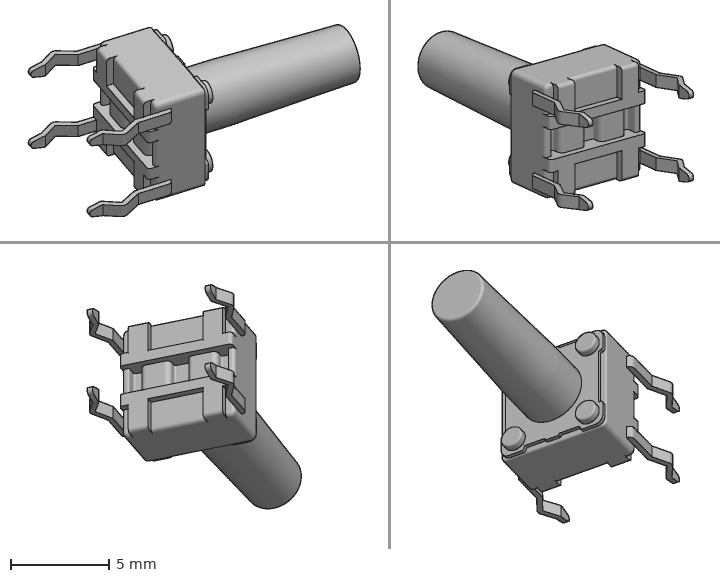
import cadquery as cq
import math


body_size = 6.2
body_half = body_size / 2
body_top = 3.3
body_corner_radius = 0.3
body_top_fillet = 0.1
body_bottom_fillet = 0.2

recess_depth = 0.4
corner_recess_x = 2.6
corner_recess_z = 1.52
side_recess_half_width = 1.52
side_recess_z = 1.4
channel_half_width = 0.82

pocket_floor = 1.05
pocket_floor_fillet = 0.1
pocket_outer_x = 2.71
rib_center_x = 1.29
rib_half_width = 0.82
rib_edge_radius = 0.3
wall_edge_radius = 0.1

plate_half = 3.0
plate_top = 3.5
plate_corner_radius = 0.46
relief_half_width = 1.64
relief_depth = 0.26
relief_rim_radius = 0.15
relief_floor_fillet = 0.1
tab_half_width = 0.39
tab_height = 0.12

rivet_offset = 2.18
rivet_radius = 0.61
rivet_top = 3.9
rivet_fillet = 0.1

stem_radius = 1.75
stem_tip_radius = 1.54
stem_taper_start = 5.83
stem_top = 13.0
stem_tip_fillet = 0.15

leg_offset_z = 2.26
leg_width = 0.7
leg_thickness = 0.3
leg_top = 1.3
leg_bottom = -3.5
leg_upper_bend = -0.76
leg_lower_bend = -2.71
leg_bend_angle = math.radians(30)
leg_apex_x = 3.955
leg_apex_y = -1.81
leg_apex_outer_radius = 0.35
leg_apex_inner_radius = leg_apex_outer_radius - leg_thickness
leg_taper_start = -2.79
leg_taper_angle = math.radians(13)
leg_tip_radius = 0.23


def box(x_min, x_max, y_min, y_max, z_min, z_max):
    """Axis-aligned box between two opposite corners."""
    size = (x_max - x_min, y_max - y_min, z_max - z_min)
    return cq.Workplane("XY").box(*size, centered=False).translate((x_min, y_min, z_min))


def rounded_block(bottom):
    """Housing block with rounded edges, reaching down to the given height."""
    block = box(-body_half, body_half, bottom, body_top, -body_half, body_half)
    block = block.edges("|Y").fillet(body_corner_radius)
    block = block.faces(">Y").edges().fillet(body_top_fillet)
    return block.faces("<Y").edges().fillet(body_bottom_fillet)


def groove_cutter(x_min, x_max, depth, left_radius, right_radius, floor_fillet, length):
    """Groove with its mouth on y = 0, cutting toward +Y and running from z = 0 along +Z.

    Its mouth flares out in arcs of the given radii (0 leaves a sharp edge).
    """
    arc_inset = 1 - math.sqrt(0.5)
    outline = cq.Workplane("XY").moveTo(x_min - left_radius, 0)
    if left_radius:
        left_middle = (x_min - left_radius * arc_inset, left_radius * arc_inset)
        outline = outline.threePointArc(left_middle, (x_min, left_radius))
    outline = outline.lineTo(x_min, depth).lineTo(x_max, depth).lineTo(x_max, right_radius)
    if right_radius:
        right_middle = (x_max + right_radius * arc_inset, right_radius * arc_inset)
        outline = outline.threePointArc(right_middle, (x_max + right_radius, 0))
    cutter = outline.close().extrude(length)
    return cutter.faces(">Y").edges("|Z").fillet(floor_fillet)


def pocket(x_min, x_max, left_radius, right_radius):
    """Cutter for one pocket in the floor of the channel."""
    cutter = groove_cutter(
        x_min,
        x_max,
        pocket_floor - recess_depth,
        left_radius,
        right_radius,
        pocket_floor_fillet,
        2 * channel_half_width,
    )
    return cutter.translate((0, recess_depth, -channel_half_width))


def relief(x_min, left_radius):
    """Cutter for a relief in the +Z side of the plate, ending at the +X rim."""
    cutter = groove_cutter(
        x_min,
        relief_half_width,
        relief_depth,
        left_radius,
        relief_rim_radius,
        relief_floor_fillet,
        plate_top - body_top,
    )
    return cutter.rotate((0, 0, 0), (1, 0, 0), -90).translate((0, body_top, plate_half))


def make_housing():
    recess_top = recess_depth + body_bottom_fillet
    feet = rounded_block(0)
    feet = feet.cut(
        box(-body_half, body_half, 0, recess_top, -channel_half_width, channel_half_width)
    )
    side_recess = box(
        -side_recess_half_width, side_recess_half_width, 0, recess_top, side_recess_z, body_half
    )
    corner_recess = box(corner_recess_x, body_half, 0, recess_top, corner_recess_z, body_half)
    corner_recess = corner_recess.union(corner_recess.mirror("YZ"))
    for recess in (side_recess, corner_recess):
        feet = feet.cut(recess).cut(recess.mirror("XY"))
    housing = feet.union(rounded_block(recess_depth))

    rib_inner_x = rib_center_x - rib_half_width
    rib_outer_x = rib_center_x + rib_half_width
    outer_pocket = pocket(rib_outer_x, pocket_outer_x, rib_edge_radius, wall_edge_radius)
    middle_pocket = pocket(-rib_inner_x, rib_inner_x, rib_edge_radius, rib_edge_radius)
    return housing.cut(middle_pocket).cut(outer_pocket).cut(outer_pocket.mirror("YZ"))


def make_plate():
    plate = box(-plate_half, plate_half, body_top, plate_top, -plate_half, plate_half)
    plate = plate.edges("|Y").fillet(plate_corner_radius)
    tab_end = plate_half - relief_depth + tab_height
    above_tab = box(
        -tab_half_width, tab_half_width, body_top, plate_top, tab_end, plate_half
    )
    half_relief = relief(tab_half_width, 0)
    long_relief = relief(-relief_half_width, relief_rim_radius)
    for turn in (0, 180):
        plate = plate.cut(above_tab.rotate((0, 0, 0), (0, 1, 0), turn))
        plate = plate.cut(half_relief.rotate((0, 0, 0), (0, 1, 0), turn))
        plate = plate.cut(half_relief.mirror("YZ").rotate((0, 0, 0), (0, 1, 0), turn))
        plate = plate.cut(long_relief.rotate((0, 0, 0), (0, 1, 0), turn + 90))
    return plate


def make_rivets():
    centers = [(x, z) for x in (-rivet_offset, rivet_offset) for z in (-rivet_offset, rivet_offset)]
    rivets = (
        cq.Workplane("XZ", origin=(0, body_top, 0))
        .pushPoints(centers)
        .circle(rivet_radius)
        .extrude(body_top - rivet_top)
    )
    return rivets.faces(">Y").edges().fillet(rivet_fillet)


def make_stem():
    """Round plunger: straight at its base, then tapering to a rounded tip."""
    stem = (
        cq.Workplane("XY")
        .moveTo(0, body_top)
        .lineTo(stem_radius, body_top)
        .lineTo(stem_radius, stem_taper_start)
        .lineTo(stem_tip_radius, stem_top)
        .lineTo(0, stem_top)
        .close()
        .revolve(360, (0, 0, 0), (0, 1, 0))
    )
    return stem.faces(">Y").edges().fillet(stem_tip_fillet)


def make_leg():
    """Leg on the +X, +Z corner, kinked outward and tapered at its tip."""
    inner_x = body_half
    outer_x = body_half + leg_thickness
    miter = leg_thickness * math.tan(leg_bend_angle / 2) / 2
    apex_outer_x = leg_apex_x + leg_apex_outer_radius * (1 / math.cos(leg_bend_angle) - 1)
    apex_inner_x = apex_outer_x - leg_thickness / math.cos(leg_bend_angle)
    leg = (
        cq.Workplane("XY")
        .moveTo(inner_x, leg_top)
        .radiusArc((outer_x, leg_top - leg_thickness), leg_thickness)
        .lineTo(outer_x, leg_upper_bend + miter)
        .lineTo(apex_outer_x, leg_apex_y)
        .lineTo(outer_x, leg_lower_bend - miter)
        .lineTo(outer_x, leg_bottom)
        .lineTo(inner_x, leg_bottom)
        .lineTo(inner_x, leg_lower_bend + miter)
        .lineTo(apex_inner_x, leg_apex_y)
        .lineTo(inner_x, leg_upper_bend - miter)
        .close()
        .extrude(leg_width / 2, both=True)
    )
    for apex_x, radius in (
        (apex_outer_x, leg_apex_outer_radius),
        (apex_inner_x, leg_apex_inner_radius),
    ):
        leg = leg.edges(cq.selectors.NearestToPointSelector((apex_x, leg_apex_y, 0))).fillet(radius)
    return leg.intersect(leg_side_outline()).translate((0, 0, leg_offset_z))


def leg_side_outline():
    """Block with the leg's outline in the YZ plane: parallel sides and a tapered, rounded tip."""
    half_width = leg_width / 2
    tip_edge = leg_tip_radius * math.cos(leg_taper_angle)
    tip_start = leg_bottom + leg_tip_radius * (1 - math.sin(leg_taper_angle))
    return (
        cq.Workplane("YZ")
        .moveTo(leg_top, -half_width)
        .lineTo(leg_taper_start, -half_width)
        .lineTo(tip_start, -tip_edge)
        .threePointArc((leg_bottom, 0), (tip_start, tip_edge))
        .lineTo(leg_taper_start, half_width)
        .lineTo(leg_top, half_width)
        .close()
        .extrude(leg_apex_x)
    )


result = make_housing().union(make_plate()).union(make_rivets()).union(make_stem())
leg_pair = make_leg()
leg_pair = leg_pair.union(leg_pair.mirror("YZ"))
result = result.union(leg_pair).union(leg_pair.mirror("XY"))